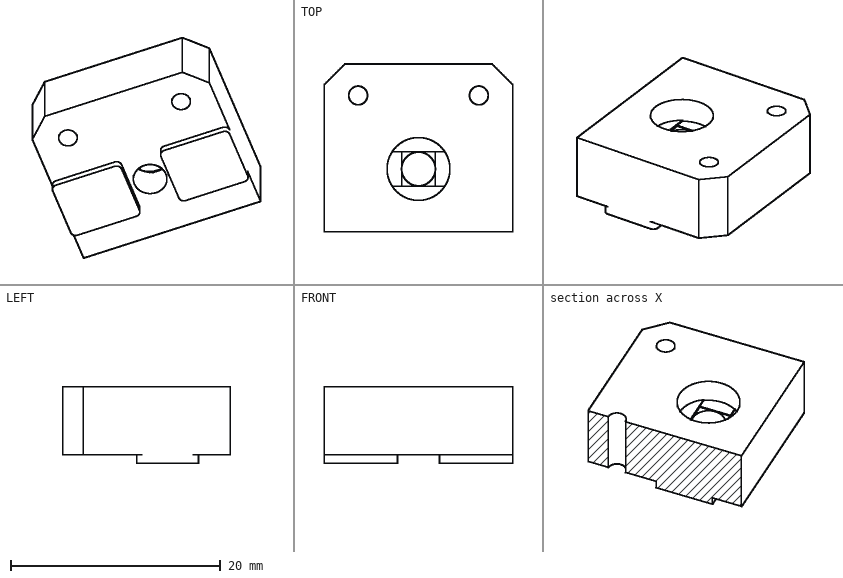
import cadquery as cq

width = 18.0
depth = 16.0
body_height = 6.5
corner_chamfer = 2.0

foot_height = 0.81
foot_length = 7.0
foot_width = 5.9
foot_radius = 0.5

bore_y = 6.0
bore_diameter = 6.0
bore_depth = 2.3
slot_width = 3.25
slot_depth = 0.1
recess_length = 3.2
recess_depth = 0.1
through_diameter = 3.2

mount_diameter = 1.76
mount_spacing = 11.5
mount_y = 13.0


def make_body():
    """Rectangular block with its two rear corners cut off."""
    block = cq.Workplane("XY").box(width, depth, body_height, centered=(True, False, False))
    return block.faces(">Y").edges("|Z").chamfer(corner_chamfer)


def make_foot(side):
    """Rounded pad on the given side (-1 or 1), centred on the bore in Y."""
    foot_x = side * (width - foot_length) / 2
    return (
        cq.Workplane("XY", origin=(foot_x, bore_y, -foot_height))
        .rect(foot_length, foot_width)
        .extrude(foot_height)
        .edges("|Z")
        .fillet(foot_radius)
    )


def make_opening():
    """Cutter for the stepped opening, built downwards from the top face."""
    def section(top):
        return cq.Workplane("XY", origin=(0, bore_y, top))

    bore_floor = body_height - bore_depth
    slot_floor = bore_floor - slot_depth
    bore = section(body_height).circle(bore_diameter / 2).extrude(-bore_depth)
    slot_ends = section(bore_floor).circle(bore_diameter / 2).extrude(-slot_depth)
    slot = section(bore_floor).rect(bore_diameter, slot_width).extrude(-slot_depth)
    recess = section(slot_floor).rect(recess_length, slot_width).extrude(-recess_depth)
    through = section(body_height).circle(through_diameter / 2).extrude(-body_height)
    return bore.union(slot.intersect(slot_ends)).union(recess).union(through)


def make_mount_holes():
    """Cutters for the two holes through the full body height."""
    half_spacing = mount_spacing / 2
    return (
        cq.Workplane("XY")
        .pushPoints([(-half_spacing, mount_y), (half_spacing, mount_y)])
        .circle(mount_diameter / 2)
        .extrude(body_height)
    )


result = make_body()
for foot_side in (-1, 1):
    result = result.union(make_foot(foot_side))
result = result.cut(make_opening()).cut(make_mount_holes())